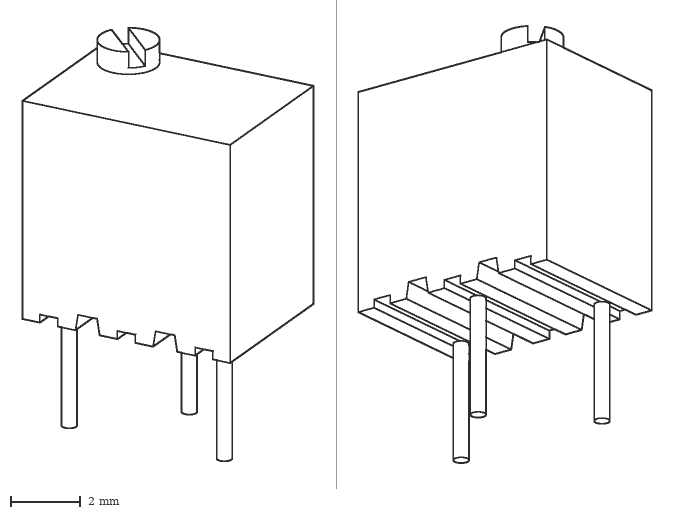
import cadquery as cq

HOUSING_LENGTH = 6.8
HOUSING_DEPTH = 5.0
HOUSING_HEIGHT = 6.8
TOTAL_HEIGHT = 11.1

SCREW_HEIGHT = 0.7
SCREW_DIAMETER = 1.8
SCREW_FROM_LEFT = 1.3
SCREW_FROM_BACK = 1.02
SCREW_SLOT_WIDTH = 0.5
SCREW_SLOT_DEPTH = 0.5
SCREW_SLOT_ANGLE = -45.0

PIN_PITCH = 2.54
PIN_DIAMETER = 0.45
PIN_LENGTH = TOTAL_HEIGHT - HOUSING_HEIGHT - SCREW_HEIGHT
FRONT_ROW_FROM_FRONT = 1.23
FRONT_ROW_Y = -HOUSING_DEPTH / 2 + FRONT_ROW_FROM_FRONT
BACK_ROW_Y = FRONT_ROW_Y + PIN_PITCH
PIN_CENTRES = [(-PIN_PITCH, FRONT_ROW_Y), (0, BACK_ROW_Y), (PIN_PITCH, FRONT_ROW_Y)]

PIN_CHANNEL_WIDTH = 0.58
PIN_CHANNEL_HEIGHT = 0.25
VENT_BOTTOM_WIDTH = 0.79
VENT_TOP_WIDTH = 0.62
VENT_HEIGHT = 0.5


def make_channel(center_x, bottom_width, top_width, height):
    """Channel cutter running the full depth of the housing, open at the bottom."""
    return (
        cq.Workplane("XZ")
        .polyline([
            (center_x - bottom_width / 2, 0),
            (center_x + bottom_width / 2, 0),
            (center_x + top_width / 2, height),
            (center_x - top_width / 2, height),
        ])
        .close()
        .extrude(HOUSING_DEPTH / 2, both=True)
    )


def make_housing():
    """Block with a square channel over each pin and a tapered vent between pins."""
    housing = cq.Workplane("XY").box(
        HOUSING_LENGTH, HOUSING_DEPTH, HOUSING_HEIGHT, centered=(True, True, False)
    )
    for pin_x, _ in PIN_CENTRES:
        housing = housing.cut(
            make_channel(pin_x, PIN_CHANNEL_WIDTH, PIN_CHANNEL_WIDTH, PIN_CHANNEL_HEIGHT)
        )
    for vent_x in (-PIN_PITCH / 2, PIN_PITCH / 2):
        housing = housing.cut(
            make_channel(vent_x, VENT_BOTTOM_WIDTH, VENT_TOP_WIDTH, VENT_HEIGHT)
        )
    return housing


def make_screw():
    """Round screw head with a diagonal screwdriver slot."""
    screw = cq.Workplane("XY").circle(SCREW_DIAMETER / 2).extrude(SCREW_HEIGHT)
    slot = (
        cq.Workplane("XY")
        .workplane(offset=SCREW_HEIGHT - SCREW_SLOT_DEPTH)
        .rect(2 * SCREW_DIAMETER, SCREW_SLOT_WIDTH)
        .extrude(SCREW_SLOT_DEPTH)
        .rotate((0, 0, 0), (0, 0, 1), SCREW_SLOT_ANGLE)
    )
    return screw.cut(slot).translate((
        -HOUSING_LENGTH / 2 + SCREW_FROM_LEFT,
        HOUSING_DEPTH / 2 - SCREW_FROM_BACK,
        HOUSING_HEIGHT,
    ))


def make_pin(x, y):
    """Round pin hanging down from the level of the housing's bottom face."""
    return cq.Workplane("XY").center(x, y).circle(PIN_DIAMETER / 2).extrude(-PIN_LENGTH)


housing = make_housing()
screw = make_screw()
pins = [make_pin(x, y) for x, y in PIN_CENTRES]

result = cq.Compound.makeCompound([housing.val(), screw.val(), *[pin.val() for pin in pins]])